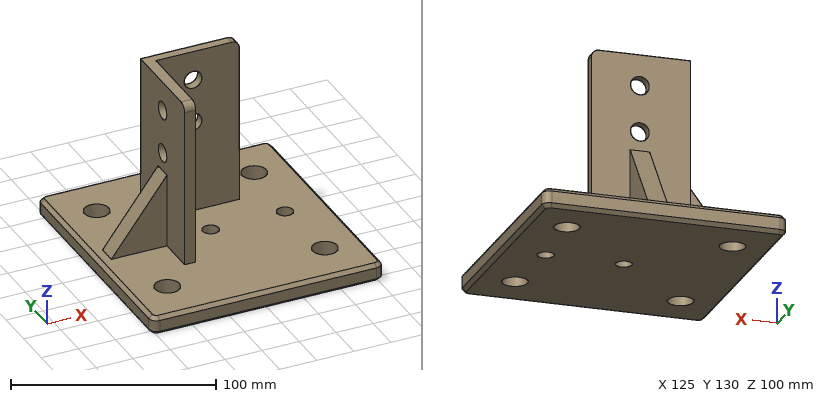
import cadquery as cq

plate_x = 125.0
plate_y = 130.0
plate_thickness = 10.0
plate_corner_radius = 4.0
plate_chamfer = 2.0

mount_hole_diameter = 13.0
mount_spacing_x = 85.0
mount_spacing_y = 80.1
small_hole_diameter = 8.5
small_hole_offset_x = 40.0

total_height = 100.0
wall_left = -26.0
wall_right = 25.0
wall_back = 25.0
wall_front = -25.0
side_wall_thickness = 6.0
back_wall_thickness = 5.0
wall_corner_radius = 4.0
wall_hole_diameter = 9.5
top_hole_depth = 16.0
wall_hole_pitch = 24.0

gusset_length = 30.0
gusset_height = 40.0
gusset_width = 10.0

wall_height = total_height - plate_thickness


def make_plate():
    plate = (
        cq.Workplane("XY")
        .rect(plate_x, plate_y)
        .extrude(plate_thickness)
        .edges("|Z")
        .fillet(plate_corner_radius)
        .faces("<Z or >Z")
        .chamfer(plate_chamfer)
    )
    mount_holes = (
        cq.Workplane("XY")
        .rect(mount_spacing_x, mount_spacing_y, forConstruction=True)
        .vertices()
        .circle(mount_hole_diameter / 2)
        .extrude(plate_thickness)
    )
    small_holes = (
        cq.Workplane("XY")
        .pushPoints([(0, 0), (small_hole_offset_x, 0)])
        .circle(small_hole_diameter / 2)
        .extrude(plate_thickness)
    )
    return plate.cut(mount_holes).cut(small_holes)


def make_wall_box(size_x, size_y):
    """Upright box with its back left bottom corner at the angle's outer corner."""
    return (
        cq.Workplane("XY")
        .box(size_x, size_y, wall_height, centered=False)
        .translate((wall_left, wall_back - size_y, plate_thickness))
    )


def make_angle():
    side_wall = make_wall_box(side_wall_thickness, wall_back - wall_front)
    side_wall = side_wall.faces(">Z").edges("<Y").fillet(wall_corner_radius)
    back_wall = make_wall_box(wall_right - wall_left, back_wall_thickness)
    back_wall = back_wall.faces(">Z").edges(">X").fillet(wall_corner_radius)
    angle = side_wall.union(back_wall)

    top_hole_z = total_height - top_hole_depth
    hole_centers = [(0, top_hole_z), (0, top_hole_z - wall_hole_pitch)]
    for plane in ("XZ", "YZ"):
        holes = (
            cq.Workplane(plane)
            .pushPoints(hole_centers)
            .circle(wall_hole_diameter / 2)
            .extrude(plate_y, both=True)
        )
        angle = angle.cut(holes)
    return angle


def make_gusset(plane, wall_position, direction):
    """Triangle rising from the plate to a wall, sloping away along direction (+1 or -1)."""
    return (
        cq.Workplane(plane)
        .moveTo(wall_position, plate_thickness)
        .lineTo(wall_position + direction * gusset_length, plate_thickness)
        .lineTo(wall_position, plate_thickness + gusset_height)
        .close()
        .extrude(gusset_width / 2, both=True)
    )


left_gusset = make_gusset("XZ", wall_left, -1)
back_gusset = make_gusset("YZ", wall_back, 1)
result = make_plate().union(make_angle()).union(left_gusset).union(back_gusset)